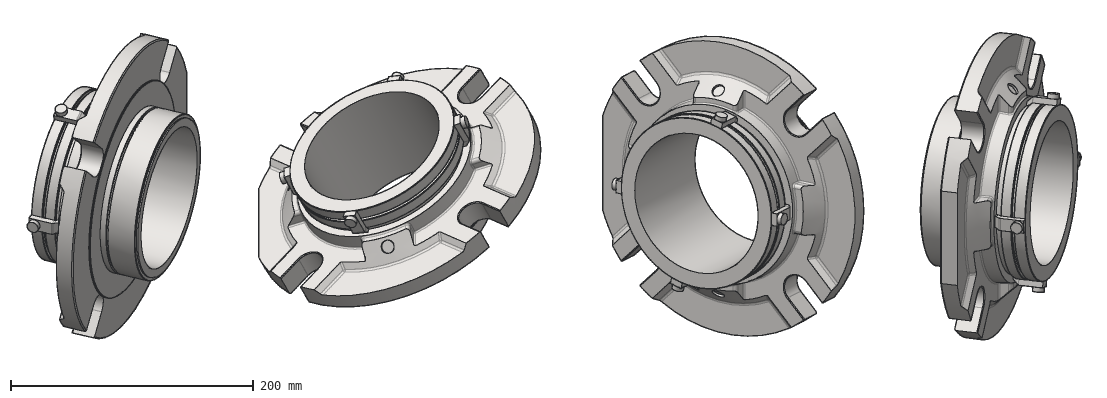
import cadquery as cq
import math


ring_width = 10.0
second_ring_start = 12.2
second_ring_end = 21.3
gland_front = 26.0
top_lug_front = 27.5
near_side_lug_front = 30.0
pad_front = 39.0
recess_floor = 44.5
flange_back = 59.0
register_back = 60.5
relief_start = 65.5
relief_end = 67.2
nose_start = 91.4
total_length = 92.5

bore_diameter = 120.5
ring_diameter = 147.5
neck_diameter = 141.5
spigot_diameter = 141.3
relief_diameter = 138.3
nose_diameter = 135.2
register_diameter = 184.7
flange_diameter = 253.8

flat_distance = 120.0
edge_chamfer = 1.0
ring_chamfer = 0.5

gland_front_radius = 77.6
gland_base_radius = 78.7

pad_half_width = 27.7
pad_half_width_at_floor = 32.7
pad_side_angle = math.atan2(pad_half_width_at_floor - pad_half_width, recess_floor - pad_front)
recess_fillet = 3.0
recess_corner_fillet = 2.3
corner_clearance = 1.3
recess_reach = 203.0

cone_base_radius = 99.2
cone_angle = 43.5
lug_half_width = 21.5
lug_inner_radius = 66.0
lug_outer_radius = 101.5
lug_corner_fillet = 3.0
root_fillet = 1.3
root_tolerance = 0.3
lug_fronts = {
    0: top_lug_front,
    90: near_side_lug_front,
    180: top_lug_front,
    270: top_lug_front,
}

port_diameter = 11.0
port_depth = 2.0
port_radius = 88.8
port_angles = [0, 180]

slot_width = 24.5
slot_centre_radius = 103.5
slot_chamfer = 0.8
slot_angles = [45, 135, 225, 315]

clip_width = 11.0
clip_tip_width = 10.0
clip_inner_radius = 73.3
clip_outer_radius = 78.7
clip_bend = 20.8
clip_tip_inner_radius = 70.0
clip_tip_outer_radius = 74.0
clip_bend_fillet = 2.0
pin_diameter = 10.0
pin_top_radius = 82.7
clip_tilt = 15
clip_angles = [clip_tilt, 90, 180 + clip_tilt, 270]


def about_axis(solid, angle):
    """Turn a solid about the X axis; +Z goes toward -Y for positive angles."""
    return solid.rotate((0, 0, 0), (1, 0, 0), angle)


def disc(diameter, start, end):
    return cq.Workplane("YZ").workplane(offset=start).circle(diameter / 2).extrude(end - start)


def revolved(profile):
    """Revolve an (x, radius) profile about the X axis."""
    return profile.close().revolve(360, (0, 0, 0), (1, 0, 0))


def cone_radius(x):
    return cone_base_radius - (recess_floor - x) * math.tan(math.radians(cone_angle))


def cone(start):
    """Solid cone running from x = start to the recess floor, its seam on the -Z side."""
    profile = (
        cq.Workplane("XZ")
        .moveTo(start, 0)
        .lineTo(start, cone_radius(start))
        .lineTo(recess_floor, cone_base_radius)
        .lineTo(recess_floor, 0)
    )
    return about_axis(revolved(profile), 180)


def sleeve():
    body = disc(neck_diameter, 0, relief_start)
    for start, end in [(0, ring_width), (second_ring_start, second_ring_end)]:
        body = body.union(disc(ring_diameter, start, end).edges().chamfer(ring_chamfer))
    body = body.union(disc(relief_diameter, relief_start, relief_end))
    spigot = disc(spigot_diameter, relief_end, nose_start).faces(">X").chamfer(ring_chamfer)
    nose = disc(nose_diameter, nose_start, total_length)
    return body.union(spigot).union(nose)


def recess():
    """Cutter for the +Z quadrant: clears the space between two pads outside the cone."""
    depth = recess_floor - gland_front
    half_width_at_front = pad_half_width_at_floor - depth * math.tan(pad_side_angle)
    apex = half_width_at_front * math.sqrt(2)
    wedge = (
        cq.Workplane("YZ")
        .workplane(offset=gland_front)
        .moveTo(0, apex)
        .lineTo(recess_reach, apex + recess_reach)
        .lineTo(-recess_reach, apex + recess_reach)
        .close()
        .extrude(depth, taper=math.degrees(pad_side_angle))
    )
    cutter = wedge.cut(cone(gland_front))
    between_ends = cq.selectors.BoxSelector(
        (gland_front + corner_clearance, -recess_reach, 0),
        (recess_floor - corner_clearance, recess_reach, cone_base_radius),
    )
    cutter = cutter.edges(between_ends).fillet(recess_corner_fillet)
    return cutter.faces(">X").edges().fillet(recess_fillet)


def flange():
    body = disc(flange_diameter, pad_front, flange_back)
    beyond_flat = cq.Workplane("XY").box(
        flange_diameter, flange_diameter, flange_diameter, centered=(True, False, True)
    ).translate((0, flat_distance, 0))
    return body.cut(beyond_flat).faces(">X").chamfer(edge_chamfer)


def register():
    return disc(register_diameter, flange_back, register_back).faces(">X").chamfer(ring_chamfer)


def slot_outline(half_width):
    """Open-ended slot pointing along +Z, drawn on the pad face."""
    return (
        cq.Workplane("YZ")
        .workplane(offset=pad_front)
        .moveTo(half_width, flange_diameter)
        .lineTo(half_width, slot_centre_radius)
        .radiusArc((-half_width, slot_centre_radius), half_width)
        .lineTo(-half_width, flange_diameter)
        .close()
    )


def bolt_slot():
    through = slot_outline(slot_width / 2).extrude(flange_back - pad_front)
    mouth = slot_outline(slot_width / 2 + slot_chamfer).extrude(slot_chamfer, taper=45)
    return through.union(mouth)


def gland():
    profile = (
        cq.Workplane("XZ")
        .moveTo(gland_front, 0)
        .lineTo(gland_front, gland_front_radius)
        .lineTo(pad_front, gland_base_radius)
        .lineTo(recess_floor, gland_base_radius)
        .lineTo(recess_floor, 0)
    )
    return revolved(profile)


def lug(front):
    """Slab on the +Z side that the recess cutter trims to the cone."""
    slab = cq.Workplane("XY").box(
        recess_floor - front, 2 * lug_half_width, lug_outer_radius - lug_inner_radius,
        centered=(False, True, False),
    ).translate((front, 0, lug_inner_radius))
    return slab.edges("|Z and <X").fillet(lug_corner_fillet)


def is_root_edge(edge):
    """True for edges where a lug meets the gland, or where either meets the pad face."""
    rim_radius = flange_diameter / 2 - root_tolerance
    for point in edge.positions([0.25, 0.5, 0.75]):
        radius = math.hypot(point.y, point.z)
        on_pad_face = abs(point.x - pad_front) < root_tolerance and radius < rim_radius
        on_gland = gland_front + root_tolerance < point.x and radius < gland_base_radius + root_tolerance
        if not (on_pad_face or on_gland):
            return False
    return edge.Center().x < pad_front + root_tolerance


def port():
    """Blind port on the +Z side, drilled square to the cone."""
    drill = cq.Workplane("XY").circle(port_diameter / 2).extrude(2 * port_depth)
    x = recess_floor - (cone_base_radius - port_radius) / math.tan(math.radians(cone_angle))
    return (
        drill.translate((0, 0, -port_depth))
        .rotate((0, 0, 0), (0, 1, 0), -cone_angle)
        .translate((x, 0, port_radius))
    )


def clip():
    """Setting clip with its pin on the +Z side."""
    strap = (
        cq.Workplane("XZ")
        .moveTo(0, clip_inner_radius)
        .lineTo(0, clip_outer_radius)
        .lineTo(clip_bend, clip_outer_radius)
        .lineTo(gland_front, clip_tip_outer_radius)
        .lineTo(gland_front, clip_tip_inner_radius)
        .lineTo(clip_bend, clip_inner_radius)
        .close()
        .extrude(clip_width / 2, both=True)
    )
    bend = cq.selectors.NearestToPointSelector((clip_bend, 0, clip_outer_radius))
    strap = strap.edges(bend).fillet(clip_bend_fillet)
    plan = (
        cq.Workplane("XY")
        .moveTo(0, clip_width / 2)
        .lineTo(clip_bend, clip_width / 2)
        .lineTo(gland_front, clip_tip_width / 2)
        .lineTo(gland_front, -clip_tip_width / 2)
        .lineTo(clip_bend, -clip_width / 2)
        .lineTo(0, -clip_width / 2)
        .close()
        .extrude(clip_outer_radius)
    )
    strap = strap.intersect(plan)
    pin = (
        cq.Workplane("XY")
        .workplane(offset=clip_inner_radius)
        .center(pin_diameter / 2, 0)
        .circle(pin_diameter / 2)
        .extrude(pin_top_radius - clip_inner_radius)
    )
    return strap.union(pin)


body = gland().union(flange())
for angle, front in lug_fronts.items():
    body = body.union(about_axis(lug(front), angle))
body = body.edges().filter(is_root_edge).fillet(root_fillet)

for angle in lug_fronts:
    body = body.cut(about_axis(recess(), angle))
for angle in port_angles:
    body = body.cut(about_axis(port(), angle))
for angle in slot_angles:
    body = body.cut(about_axis(bolt_slot(), angle))

body = body.union(sleeve()).union(register())
for angle in clip_angles:
    body = body.union(about_axis(clip(), angle))
result = body.cut(disc(bore_diameter, 0, total_length))